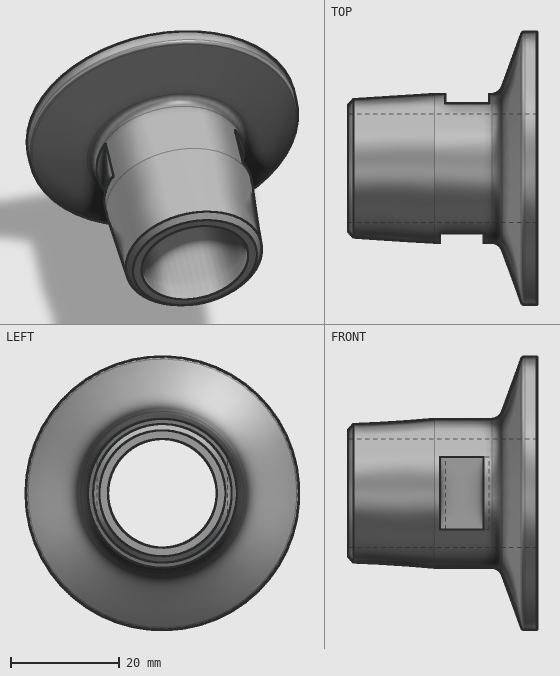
import cadquery as cq
import math

total_length = 35.0
end_chamfer_length = 1.05
taper_end = 16.0
rim_width = 2.3

bore_radius = 10.0
end_face_radius = 11.6
taper_start_radius = 12.8
neck_radius = 13.75
flange_radius = 25.25

cone_angle = 20.0
neck_fillet = 2.0
rim_fillet = 0.75
face_chamfer = 0.25

flat_distance = 12.0
flat_width = 8.1
front_flat_start = 16.95
back_flat_start = 18.0
cut_clearance = 0.5


def make_body():
    """Revolve the spigot, neck and conical flange about the X axis."""
    slope = math.radians(cone_angle)

    rim_start = total_length - rim_width
    rim_center_radius = flange_radius - rim_fillet
    cone_end_x = rim_start - rim_fillet * math.cos(slope)
    cone_end_radius = rim_center_radius + rim_fillet * math.sin(slope)
    rim_mid_angle = (math.pi / 2 + slope) / 2
    rim_mid = (
        rim_start - rim_fillet * math.cos(rim_mid_angle),
        rim_center_radius + rim_fillet * math.sin(rim_mid_angle),
    )

    fillet_center_radius = neck_radius + neck_fillet
    fillet_end_radius = fillet_center_radius - neck_fillet * math.sin(slope)
    fillet_end_x = cone_end_x - (cone_end_radius - fillet_end_radius) * math.tan(slope)
    neck_end = fillet_end_x - neck_fillet * math.cos(slope)
    fillet_mid_angle = (math.pi / 2 - slope) / 2
    fillet_mid = (
        neck_end + neck_fillet * math.sin(fillet_mid_angle),
        fillet_center_radius - neck_fillet * math.cos(fillet_mid_angle),
    )

    return (
        cq.Workplane("XY")
        .moveTo(0, bore_radius)
        .lineTo(0, end_face_radius)
        .lineTo(end_chamfer_length, taper_start_radius)
        .lineTo(taper_end, neck_radius)
        .lineTo(neck_end, neck_radius)
        .threePointArc(fillet_mid, (fillet_end_x, fillet_end_radius))
        .lineTo(cone_end_x, cone_end_radius)
        .threePointArc(rim_mid, (rim_start, flange_radius))
        .lineTo(total_length - face_chamfer, flange_radius)
        .lineTo(total_length, flange_radius - face_chamfer)
        .lineTo(total_length, bore_radius)
        .close()
        .revolve(360, (0, 0, 0), (1, 0, 0))
    )


def flat_cutter(start, side):
    """Block that removes the neck beyond a flat; side is -1 or +1 along Y."""
    depth = neck_radius - flat_distance + cut_clearance
    return cq.Workplane("XY").box(flat_width, depth, 2 * neck_radius).translate(
        (start + flat_width / 2, side * (flat_distance + depth / 2), 0)
    )


result = make_body()
for start, side in ((front_flat_start, -1), (back_flat_start, 1)):
    result = result.cut(flat_cutter(start, side))
result = result.translate((-total_length / 2, 0, 0))